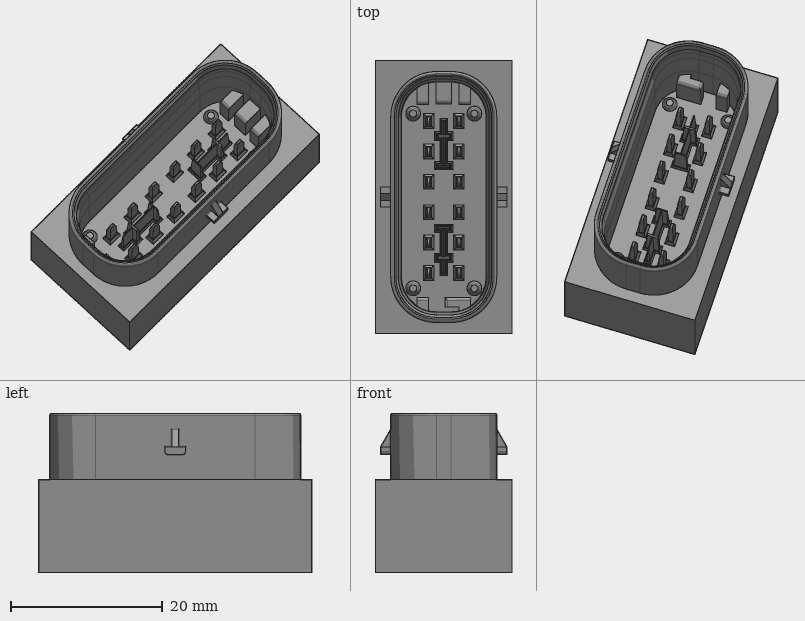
import cadquery as cq

BASE_X = 18.0
BASE_Y = 36.0
BASE_TOP = 12.25

SHROUD_X = 13.95
SHROUD_Y = 33.05
SHROUD_CORNER = 6.0
SHROUD_TOP = 21.0
RIM_FILLET = 0.3

FLOOR_Z = 7.2
CAVITY_PROFILE = [
    (FLOOR_Z, 1.4),
    (13.4, 1.35),
    (17.85, 1.35),
    (19.0, 1.0),
    (20.2, 1.0),
    (20.8, 0.7),
    (SHROUD_TOP, 0.45),
]

PIN_PITCH = 4.0
PIN_ROWS = 6
PIN_COLUMNS = 2
COLLAR_X = 1.35
COLLAR_Y = 1.95
COLLAR_INSET = 0.3
COLLAR_HEIGHT = 0.5
PIN_X = 0.65
PIN_Y = 1.22
PIN_TIP_X = 0.3
PIN_TIP_Y = 0.85
PIN_SHANK_TOP = 10.8
PIN_TAPER_TOP = 11.52
PIN_TOP = 11.88

SPINE_X = 1.05
SPINE_Y = (3.6, 10.35)
BAR_X = 2.4
BAR_SPANS_Y = [(3.6, 4.68), (7.4, 8.6)]
RIB_FOOT_INSET = 0.18
RIB_FOOT_HEIGHT = 0.3
RIB_BLADE_INSET = 0.3
RIB_TIP_INSET = 0.45
RIB_TOP = 11.52

BOSS_X = 4.05
BOSS_YS = [10.98, -12.02]
BOSS_RADIUS = 0.97
BOSS_SHOULDER_RADIUS = 0.72
BOSS_TIP_RADIUS = 0.45
BOSS_SHOULDER_HEIGHT = 0.35
BOSS_HEIGHT = 0.65

KEY_TOP = BASE_TOP
KEY_FILLET = 0.35
KEY_WALL_Y = 15.35
KEY_INNER_X = 1.98
KEY_OUTER_X = 3.5
MIDDLE_KEY_X = 1.98
MIDDLE_KEY_FRONT_Y = 12.28
SIDE_KEY_FRONT_Y = 12.15
LOW_KEY_FRONT_Y = -13.25
HOOK_TIP_X = 0.15
HOOK_BACK_Y = -14.47

TAB_REACH = 8.3
TAB_FOOT_Y = 2.65
TAB_FOOT_BOTTOM = 15.55
TAB_FOOT_TOP = 16.55
TAB_FOOT_FILLET = 0.45
GUSSET_Y = 0.85
GUSSET_TOP = 18.9
TAB_ROOT_FILLET = 0.1
TAB_EMBED = 0.18
TAB_ROOT_X = SHROUD_X / 2 - TAB_EMBED


def span_box(x_span, y_span, z_span):
    """Box between two limits along each axis."""
    size = [high - low for low, high in (x_span, y_span, z_span)]
    corner = (x_span[0], y_span[0], z_span[0])
    return cq.Workplane("XY").box(*size, centered=False).translate(corner)


def shroud_layer(low, high):
    """Slice of the shroud's shape between two (height, inset) levels."""
    outlines = []
    for z, inset in (low, high):
        outline = (
            cq.Sketch()
            .rect(SHROUD_X - 2 * inset, SHROUD_Y - 2 * inset)
            .vertices()
            .fillet(SHROUD_CORNER - inset)
        )
        outlines.append(outline.moved(cq.Location(cq.Vector(0, 0, z))))
    return cq.Workplane("XY").placeSketch(*outlines).loft(ruled=True)


def frustum(center, size, inset, z_bottom, z_top):
    """Rectangular block whose four sides lean in by inset towards the top."""
    return (
        cq.Workplane("XY", origin=(*center, z_bottom))
        .rect(*size)
        .workplane(offset=z_top - z_bottom)
        .rect(size[0] - 2 * inset, size[1] - 2 * inset)
        .loft(ruled=True)
    )


def housing():
    """Base block and hollow shroud."""
    base = cq.Workplane("XY").box(BASE_X, BASE_Y, BASE_TOP, centered=(True, True, False))
    shroud = shroud_layer((BASE_TOP, 0), (SHROUD_TOP, 0))
    body = base.union(shroud.faces(">Z").edges().fillet(RIM_FILLET))
    for low, high in zip(CAVITY_PROFILE, CAVITY_PROFILE[1:]):
        body = body.cut(shroud_layer(low, high))
    return body


def pin(center):
    """Blade pin with a tapered, crowned tip, rising from its collar."""
    collar = frustum(center, (COLLAR_X, COLLAR_Y), COLLAR_INSET, FLOOR_Z, FLOOR_Z + COLLAR_HEIGHT)
    broad_side = (
        cq.Workplane("YZ")
        .moveTo(-PIN_Y / 2, FLOOR_Z)
        .lineTo(-PIN_Y / 2, PIN_SHANK_TOP)
        .lineTo(-PIN_TIP_Y / 2, PIN_TAPER_TOP)
        .threePointArc((0, PIN_TOP), (PIN_TIP_Y / 2, PIN_TAPER_TOP))
        .lineTo(PIN_Y / 2, PIN_SHANK_TOP)
        .lineTo(PIN_Y / 2, FLOOR_Z)
        .close()
        .extrude(PIN_X / 2, both=True)
    )
    narrow_side = (
        cq.Workplane("XZ")
        .moveTo(-PIN_X / 2, FLOOR_Z)
        .lineTo(-PIN_X / 2, PIN_SHANK_TOP)
        .lineTo(-PIN_TIP_X / 2, PIN_TOP)
        .lineTo(PIN_TIP_X / 2, PIN_TOP)
        .lineTo(PIN_X / 2, PIN_SHANK_TOP)
        .lineTo(PIN_X / 2, FLOOR_Z)
        .close()
        .extrude(PIN_Y / 2, both=True)
    )
    blade = broad_side.intersect(narrow_side)
    return collar.union(blade.translate((*center, 0)))


def pins():
    """Two columns of pins running along Y."""
    centers = cq.Workplane("XY").rarray(PIN_PITCH, PIN_PITCH, PIN_COLUMNS, PIN_ROWS).vals()
    group = cq.Workplane("XY")
    for center in centers:
        group = group.add(pin(center.toTuple()[:2]))
    return group.combine()


def rib():
    """Rib on the +Y half: a spine along Y crossed by two bars."""
    parts = [(SPINE_X, SPINE_Y)] + [(BAR_X, span) for span in BAR_SPANS_Y]
    foot_top = FLOOR_Z + RIB_FOOT_HEIGHT
    body = cq.Workplane("XY")
    for width, (y_low, y_high) in parts:
        center = (0, (y_low + y_high) / 2)
        size = (width, y_high - y_low)
        blade_size = [length - 2 * RIB_BLADE_INSET for length in size]
        blade_taper = RIB_TIP_INSET - RIB_BLADE_INSET
        body = body.add(frustum(center, size, RIB_FOOT_INSET, FLOOR_Z, foot_top))
        body = body.add(frustum(center, blade_size, blade_taper, foot_top, RIB_TOP))
    return body.combine()


def bosses():
    """Stepped round bosses, each turned about its own axis."""
    centers = [(x, y) for x in (-BOSS_X, BOSS_X) for y in BOSS_YS]
    boss = (
        cq.Workplane("XZ")
        .lineTo(BOSS_RADIUS, 0)
        .lineTo(BOSS_SHOULDER_RADIUS, BOSS_SHOULDER_HEIGHT)
        .lineTo(BOSS_TIP_RADIUS, BOSS_HEIGHT)
        .lineTo(0, BOSS_HEIGHT)
        .close()
        .revolve(360, (0, 0), (0, 1))
    )
    group = cq.Workplane("XY")
    for x, y in centers:
        group = group.add(boss.translate((x, y, FLOOR_Z)))
    return group.combine()


def keys():
    """Keys rising from the floor along both end walls."""
    z_span = (FLOOR_Z, KEY_TOP)
    left = (-KEY_OUTER_X, -KEY_INNER_X)
    right = (KEY_INNER_X, KEY_OUTER_X)
    middle = (-MIDDLE_KEY_X / 2, MIDDLE_KEY_X / 2)
    high_keys = [
        (left, SIDE_KEY_FRONT_Y),
        (middle, MIDDLE_KEY_FRONT_Y),
        (right, SIDE_KEY_FRONT_Y),
    ]
    group = cq.Workplane("XY")
    for x_span, front_y in high_keys:
        key = span_box(x_span, (front_y, KEY_WALL_Y), z_span)
        group = group.add(key.edges(">Z and <Y").fillet(KEY_FILLET))

    low_key = span_box(left, (-KEY_WALL_Y, LOW_KEY_FRONT_Y), z_span)
    group = group.add(low_key.edges(">Z and >Y").fillet(KEY_FILLET))

    hook_leg = span_box(right, (-KEY_WALL_Y, LOW_KEY_FRONT_Y), z_span)
    hook_arm = span_box((HOOK_TIP_X, KEY_OUTER_X), (HOOK_BACK_Y, LOW_KEY_FRONT_Y), z_span)
    hook = hook_leg.union(hook_arm).clean()
    group = group.add(hook.edges("(>Z and >Y) or (>Z and <X)").fillet(KEY_FILLET))
    return group.combine()


def latch_tab():
    """Tab on the +X wall: a cross foot carried below a sloping gusset."""
    foot = span_box(
        (TAB_ROOT_X, TAB_REACH),
        (-TAB_FOOT_Y / 2, TAB_FOOT_Y / 2),
        (TAB_FOOT_BOTTOM, TAB_FOOT_TOP),
    )
    foot = foot.edges("|X and <Z").fillet(TAB_FOOT_FILLET)
    gusset = (
        cq.Workplane("XZ")
        .moveTo(TAB_ROOT_X, TAB_FOOT_BOTTOM)
        .lineTo(TAB_REACH, TAB_FOOT_BOTTOM)
        .lineTo(TAB_REACH, TAB_FOOT_TOP)
        .lineTo(SHROUD_X / 2, GUSSET_TOP)
        .lineTo(TAB_ROOT_X, GUSSET_TOP)
        .close()
        .extrude(GUSSET_Y / 2, both=True)
    )
    return foot.union(gusset)


def with_latch_tabs(body):
    """Body with a tab on each long wall, each blended into the wall at its root."""
    tab = latch_tab()
    body = body.union(tab).union(tab.mirror("YZ"))
    for wall_x in (-SHROUD_X / 2, SHROUD_X / 2):
        root = cq.selectors.BoxSelector(
            (wall_x - TAB_ROOT_FILLET, -TAB_FOOT_Y, TAB_FOOT_BOTTOM - TAB_ROOT_FILLET),
            (wall_x + TAB_ROOT_FILLET, TAB_FOOT_Y, GUSSET_TOP + TAB_ROOT_FILLET),
        )
        body = body.edges(root).fillet(TAB_ROOT_FILLET)
    return body


upper_rib = rib()

result = (
    with_latch_tabs(housing())
    .union(pins())
    .union(upper_rib)
    .union(upper_rib.mirror("XZ"))
    .union(bosses())
    .union(keys())
)